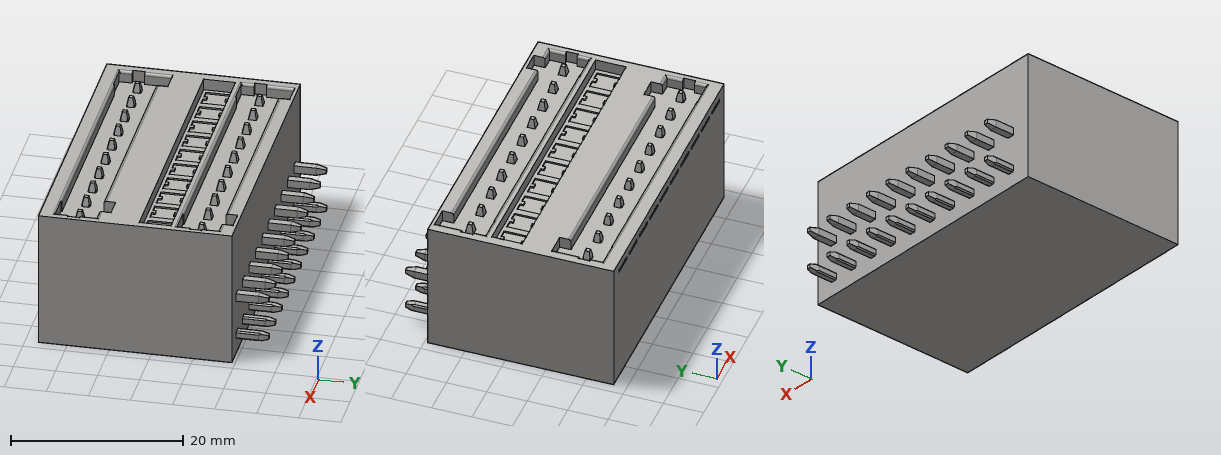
import cadquery as cq

body_width = 37.4
body_depth = 23.0
body_height = 16.8

pin_count = 10
pin_pitch = 3.5
grid_center_x = 0.15
front_row_y = 4.33
row_spacing = 14.5
rear_row_y = front_row_y + row_spacing
pin_xs = [grid_center_x + (i - (pin_count - 1) / 2) * pin_pitch for i in range(pin_count)]

front_pin_size = 1.0
rear_pin_size = 0.97
pin_tip_size = 0.5
pin_tip_length = 1.15
front_pin_chamfer = 0.17
pin_root = 1.0
tail_length = 3.8
front_row_tail_z = 2.4
rear_row_tail_z = 7.4

pocket_floor_z = body_height - 1.45
pocket_half_width = 17.5
pocket_front = -2.43
pocket_back = 2.35
lip_radius = 0.32
key_slot_width = 2.48
key_slot_back = 3.75
right_key_slot_left = 13.5
end_notch_half_width = 17.95
end_notch_width = 1.45
end_notch_offset = -0.3
front_relief_depth = 0.13
front_relief_start = 14.42

label_width = 35.25
label_length = 3.78
label_depth = 1.4
label_y = 13.66
recess_width = 2.65
recess_length = 3.0
recess_depth = 0.2
recess_tooth_width = 0.55
recess_tooth_depth = 0.4

mark_width = 2.65
mark_height = 0.3
mark_depth = 0.25
mark_z = body_height - 1.3

tolerance = 0.05


def block(x_range, y_range, z_range):
    """Box between the given limits along X, Y and Z."""
    size = [high - low for low, high in (x_range, y_range, z_range)]
    corner = (x_range[0], y_range[0], z_range[0])
    return cq.Workplane("XY").box(*size, centered=False).translate(corner)


def centered_range(center, length):
    return (center - length / 2, center + length / 2)


def copies(shape, offsets):
    """Compound of separate copies of a shape moved by the given offsets."""
    placed = [shape.translate(offset).val() for offset in offsets]
    return cq.Workplane(cq.Compound.makeCompound(placed))


def square_pin(size, straight_length):
    """Pin standing on Z = 0 and tapering above straight_length, with a root below."""
    bar_z_range = (-pin_root, straight_length)
    bar = block(centered_range(0, size), centered_range(0, size), bar_z_range)
    tip = cq.Workplane("XY").workplane(offset=straight_length).rect(size, size)
    tip = tip.workplane(offset=pin_tip_length).rect(pin_tip_size, pin_tip_size).loft()
    return bar.union(tip)


def chamfered_pin(size, straight_length):
    """Square pin with its four long corners chamfered through bar and tip."""
    full_z_range = (-pin_root, straight_length + pin_tip_length)
    bar = block(centered_range(0, size), centered_range(0, size), full_z_range)
    return bar.edges("|Z").chamfer(front_pin_chamfer).intersect(square_pin(size, straight_length))


def top_edges(body, x_range, y_range):
    """Edges of the top face that lie wholly within the given X and Y limits."""
    low = (x_range[0] - tolerance, y_range[0] - tolerance, body_height - tolerance)
    high = (x_range[1] + tolerance, y_range[1] + tolerance, body_height + tolerance)
    return body.edges(cq.selectors.BoxSelector(low, high, boundingbox=True)).vals()


def cut_mating_pocket(body, row_y):
    """Pocket with two keying slots, rounded lips, end notches and front wall reliefs."""
    depth_range = (pocket_floor_z, body_height)
    left = grid_center_x - pocket_half_width
    right = grid_center_x + pocket_half_width
    front = row_y + pocket_front
    back = row_y + pocket_back
    slot_left = grid_center_x + right_key_slot_left
    slot_y_range = (row_y, row_y + key_slot_back)

    body = body.cut(block((left, right), (front, back), depth_range))
    body = body.cut(block((left, left + key_slot_width), slot_y_range, depth_range))
    body = body.cut(block((slot_left, slot_left + key_slot_width), slot_y_range, depth_range))

    lip_zones = [
        ((left, right), (front, front)),
        ((left, right), (back, back)),
        ((left, left), (front, row_y + key_slot_back)),
        ((right, right), (front, back)),
    ]
    lips = []
    for x_range, y_range in lip_zones:
        lips += top_edges(body, x_range, y_range)
    body = body.newObject(lips).fillet(lip_radius)

    notch_x_range = centered_range(grid_center_x, 2 * end_notch_half_width)
    notch_y_range = centered_range(row_y + end_notch_offset, end_notch_width)
    body = body.cut(block(notch_x_range, notch_y_range, depth_range))

    relief_y_range = (front - front_relief_depth, front)
    body = body.cut(block((left, grid_center_x - front_relief_start), relief_y_range, depth_range))
    return body.cut(block((grid_center_x + front_relief_start, right), relief_y_range, depth_range))


def cut_label_pocket(body):
    """Label pocket whose floor carries shallow recesses with a tooth on two sides."""
    floor_z = body_height - label_depth
    body = body.cut(
        block(
            centered_range(grid_center_x, label_width),
            centered_range(label_y, label_length),
            (floor_z, body_height),
        )
    )
    z_range = (floor_z - recess_depth, floor_z)
    recess_y_range = centered_range(label_y, recess_length)
    recess = block(centered_range(0, recess_width), recess_y_range, z_range)
    tooth_x_range = centered_range(0, recess_tooth_width)
    for y_edge, y_inward in ((recess_y_range[0], 1), (recess_y_range[1], -1)):
        tooth_y_range = sorted((y_edge, y_edge + y_inward * recess_tooth_depth))
        recess = recess.cut(block(tooth_x_range, tooth_y_range, z_range))
    return body.cut(copies(recess, [(x, 0, 0) for x in pin_xs]))


def cut_front_marks(body):
    """Row of shallow slots, one per contact."""
    mark = block(centered_range(0, mark_width), (0, mark_depth), centered_range(mark_z, mark_height))
    return body.cut(copies(mark, [(x, 0, 0) for x in pin_xs]))


def add_pins(body, row_y, tail_z, make_pin, size):
    """One row of contacts: a pyramid tip in the pocket and a tail out of the back."""
    tip = make_pin(size, 0)
    tail = make_pin(size, tail_length - pin_tip_length).rotate((0, 0, 0), (1, 0, 0), -90)
    body = body.union(copies(tip, [(x, row_y, pocket_floor_z) for x in pin_xs]))
    return body.union(copies(tail, [(x, body_depth, tail_z) for x in pin_xs]))


result = block(centered_range(0, body_width), (0, body_depth), (0, body_height))
result = cut_mating_pocket(result, front_row_y)
result = cut_mating_pocket(result, rear_row_y)
result = cut_label_pocket(result)
result = cut_front_marks(result)
result = add_pins(result, front_row_y, front_row_tail_z, chamfered_pin, front_pin_size)
result = add_pins(result, rear_row_y, rear_row_tail_z, square_pin, rear_pin_size)